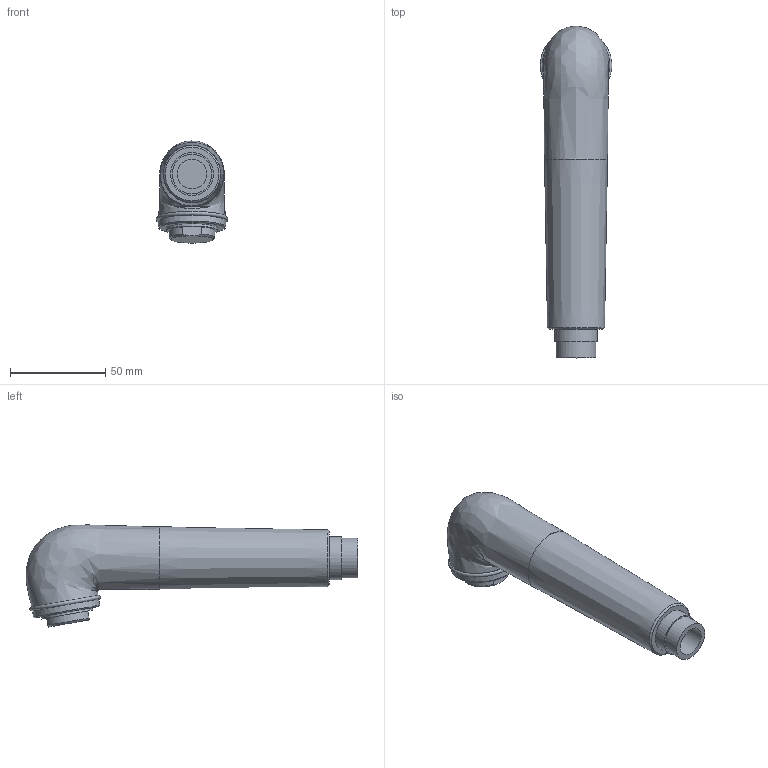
import cadquery as cq
import math

tip_radius = 10.45
tip_length = 8.5
shoulder_radius = 11.3
spigot_length = 15.0
bore_radius = 7.75
bore_depth = spigot_length

grip_end_radius = 15.0
grip_elbow_radius = 16.55
grip_length = 89.5
grip_chamfer = 0.9
grip_end = spigot_length + grip_length

neck_radius = 17.0
neck_length = 28.0
neck_sections = 4

head_lean = math.radians(10)
head_radius = 17.7
ring_y = 153.9
ring_z = -23.7
ring_outer_radius = 37.69 / 2
ring_half_thickness = 1.0
flange_bottom = -4.8
flange_chamfer = 0.6
ridge_radius = 13.6
ridge_bottom = -6.1
nozzle_radius = 12.0
nozzle_bottom = -10.85
nozzle_flat_distance = 10.95
nozzle_chamfer = 1.0

pivot_y = 136.0
pivot_z = -18.2
bend_radius = 25.8
bend_center_y = 148.7
bend_center_z = -8.65
bend_half_width = 17.0
bend_inner_radius = 1.1
bend_angles = [25, 50, 75]

head_up = (math.sin(head_lean), math.cos(head_lean))
head_across = (math.cos(head_lean), -math.sin(head_lean))


def make_handle():
    """Revolve the stepped spigot and the conical grip about the Y axis."""
    outline = [
        (0, 0),
        (tip_radius, 0),
        (tip_radius, tip_length),
        (shoulder_radius, tip_length),
        (shoulder_radius, spigot_length),
        (grip_end_radius - grip_chamfer, spigot_length),
        (grip_end_radius, spigot_length + grip_chamfer),
        (grip_elbow_radius, grip_end),
        (0, grip_end),
    ]
    return cq.Workplane("XY").polyline(outline).close().revolve(360, (0, 0, 0), (0, 1, 0))


def section_wire(center, outward, radial_radius, half_width):
    """Ellipse across the elbow: radial_radius along outward, half_width along X."""
    normal = (0, outward[1], -outward[0])
    plane = cq.Plane((0, *center), xDir=(0, *outward), normal=normal)
    return cq.Workplane(plane).ellipse(radial_radius, half_width).val()


def bend_distance(outward):
    """Distance from the pivot to the outer bend circle along the given direction."""
    to_center = (bend_center_y - pivot_y, bend_center_z - pivot_z)
    along = to_center[0] * outward[0] + to_center[1] * outward[1]
    offset = to_center[0] * outward[1] - to_center[1] * outward[0]
    return along + math.sqrt(bend_radius**2 - offset**2)


def make_elbow():
    """Loft from the grip through the neck and the bend into the head ring."""
    up = (0, 1)
    wires = []
    for index in range(neck_sections + 1):
        fraction = index / neck_sections
        radius = grip_elbow_radius + fraction * (neck_radius - grip_elbow_radius)
        center = (grip_end + fraction * neck_length, 0)
        wires.append(section_wire(center, up, radius, radius))
    wires.append(section_wire((pivot_y, 0), up, bend_half_width, bend_half_width))

    for angle in bend_angles:
        outward = (math.sin(math.radians(angle)), math.cos(math.radians(angle)))
        outer = bend_distance(outward)
        middle = (outer + bend_inner_radius) / 2
        center = (pivot_y + middle * outward[0], pivot_z + middle * outward[1])
        wires.append(section_wire(center, outward, outer - middle, bend_half_width))

    rise = (pivot_y - ring_y) * head_up[0] + (pivot_z - ring_z) * head_up[1]
    for height in (rise, 0):
        center = (ring_y + height * head_up[0], ring_z + height * head_up[1])
        wires.append(section_wire(center, head_across, head_radius, head_radius))
    return cq.Workplane(cq.Solid.makeLoft(wires))


def make_head():
    """Ring, flange, ridge and flatted nozzle, built about the tilted head axis."""
    plane = cq.Plane((0, ring_y, ring_z), xDir=(1, 0, 0), normal=(0, *head_up))
    body = (
        cq.Workplane(plane.rotated((90, 0, 0)))
        .moveTo(0, ring_half_thickness)
        .lineTo(ring_outer_radius - ring_half_thickness, ring_half_thickness)
        .threePointArc(
            (ring_outer_radius, 0),
            (ring_outer_radius - ring_half_thickness, -ring_half_thickness),
        )
        .lineTo(head_radius, -ring_half_thickness)
        .lineTo(head_radius, flange_bottom + flange_chamfer)
        .lineTo(head_radius - flange_chamfer, flange_bottom)
        .lineTo(ridge_radius, flange_bottom)
        .lineTo(ridge_radius, ridge_bottom)
        .lineTo(0, ridge_bottom)
        .close()
        .revolve(360, (0, 0, 0), (0, 1, 0))
    )
    flats = (
        cq.Workplane(plane)
        .rect(2 * nozzle_radius, 2 * nozzle_flat_distance)
        .extrude(nozzle_bottom)
    )
    nozzle = (
        cq.Workplane(plane)
        .circle(nozzle_radius)
        .extrude(nozzle_bottom)
        .faces("<Z")
        .chamfer(nozzle_chamfer)
        .intersect(flats)
    )
    return body.union(nozzle)


def make_bore():
    """Blind round hole in the spigot tip."""
    return cq.Workplane("XZ").circle(bore_radius).extrude(-bore_depth)


result = make_handle().union(make_elbow()).union(make_head()).cut(make_bore())